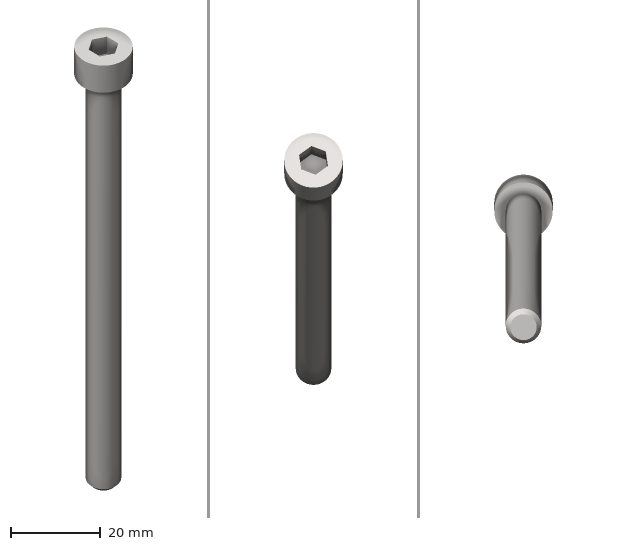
import cadquery as cq
import math

total_length = 128.0
head_diameter = 13.0
head_height = 8.0
shank_diameter = 8.0
tip_chamfer_height = 1.3
tip_chamfer_width = 1.0
socket_across_flats = 6.0
socket_depth = 5.0

shank_length = total_length - head_height
socket_across_corners = socket_across_flats / math.cos(math.pi / 6)

shank = (
    cq.Workplane("XY")
    .circle(shank_diameter / 2)
    .extrude(shank_length)
    .faces("<Z")
    .edges()
    .chamfer(tip_chamfer_height, tip_chamfer_width)
)

head = (
    cq.Workplane("XY")
    .workplane(offset=shank_length)
    .circle(head_diameter / 2)
    .extrude(head_height)
)

socket = (
    cq.Workplane("XY")
    .workplane(offset=total_length - socket_depth)
    .polygon(6, socket_across_corners)
    .extrude(socket_depth)
)

result = shank.union(head).cut(socket)